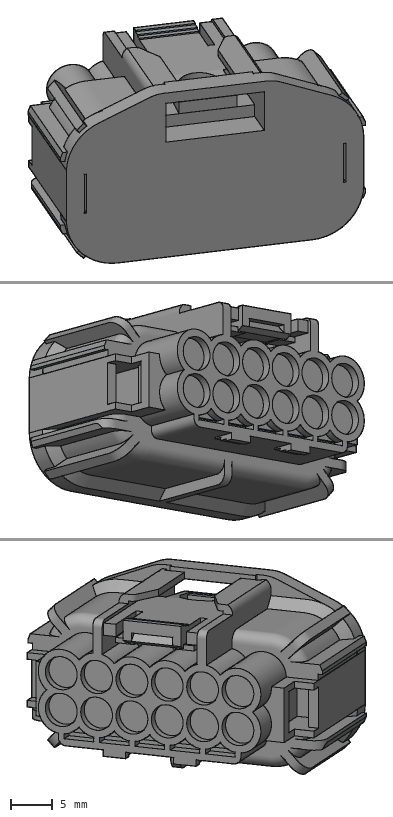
import cadquery as cq
import math


pitch = 4.6
contacts_per_row = 6
barrel_radius = 2.98
bore_radius = 2.05
bore_depth = 1.15
row_end = pitch * (contacts_per_row - 1) / 2
row_height = pitch / 2

hood_front = 8.17
flare_start = 19.52
flange_front = 20.7
length = 23.25
flange_half_width = 18.6
flange_top = 8.65
flange_bottom = -10.65
flange_corner = 6.45
hood_inset = 1.35
hood_round = 1.5
hood_middle = (flange_top + flange_bottom) / 2
arc_y = flange_half_width - flange_corner
arc_z = flange_top - flange_corner
hump_top = 11.08
hump_slope = 22.0
hump_corner = 4.8

skirt_half_width = 11.85
skirt_bottom = -6.72
skirt_corner = 0.95
core_top = 1.9
slot_width = 3.82
slot_top = -5.25
slot_bottom = -5.85
slot_depth = 1.53
web_pocket_depth = 1.15
foot_inner = 3.15
foot_outer = 6.05
foot_steps = [(1.1, -7.53), (2.18, -7.3), (3.17, -6.9)]

box_top = 2.4
box_bottom = -4.4
box_front = 3.4
box_step = 6.72
box_inner_side = 16.1
window_wall = 0.85
window_front = 4.93
window_floor = 14.82
window_deep_front = 7.0
window_deep_floor = 14.2
pocket_end = 12.22
pocket_outer = 17.3
slit_outer = 16.35

fin_end = 22.3
fin_height = 1.2
fin_reach = 19.1
fin_edge = 18.8
fin_neck = 18.53
fin_land = 0.45
fin_round = 1.75
side_fin_gap = 8.4
corner_fin_tip_y = 16.6
corner_fin_tip_z = 7.5
corner_fin_thickness = 1.22
corner_fin_depth = 6.1
rib_width = 1.15
rib_round = 1.3

channel_half_width = 6.15
channel_floor = 6.15
channel_roof = 9.7
mouth_front = 19.1
rail_outer = 7.37
rail_top = 9.35
rail_round = 0.9
rail_root = 4.6
wing_front = 8.4
wing_end = 20.2
wing_top = 10.55
wing_inner = 3.63
wing_nose = 5.45
wing_straight = 11.88
wing_nose_round = 0.75
wing_flat_edge = 6.72
crown_y = 7.15
crown_z = 10.15
crossbar_half_width = 5.55

plate_front = 0.5
plate_top = 8.98
plate_bottom = 7.45
relief_inner = 3.75
relief_outer = 4.6
relief_end = 7.03
finger_front = 0.75
finger_top = 9.5
finger_step_ends = [1.6, 2.45, 3.17]
finger_bottom = 6.5
grip_half_width = 2.67
grip_top = 8.02
grip_bottom = 7.0
grip_depth = 1.15
bar_front = 1.68
bar_end = 4.35
bar_half_width = 5.08
bar_bottom = 6.35
tongue_start = 14.2
tongue_half_width = 3.63
eye_end = 18.95
eye_ledge_end = 19.65
eye_ledge_depth = 0.08
tongue_drop = 0.75
eye_half_width = 2.7


def block(x0, x1, y0, y1, z0, z1):
    return cq.Workplane("XY").box(x1 - x0, y1 - y0, z1 - z0, centered=False).translate((x0, y0, z0))


def both_sides(solid):
    return solid.union(solid.mirror("XZ"))


def rounded_outline(x, inset):
    """Flange outline shrunk by inset, as a sketch at the given X."""
    sketch = (
        cq.Sketch()
        .rect(2 * (flange_half_width - inset), flange_top - flange_bottom - 2 * inset)
        .vertices()
        .fillet(flange_corner - inset)
    )
    return cq.Workplane("YZ", origin=(x, 0, hood_middle)).placeSketch(sketch)


def make_contact_block():
    centres = [
        (-row_end + i * pitch, z) for i in range(contacts_per_row) for z in (-row_height, row_height)
    ]
    core = block(0, hood_front, -skirt_half_width, skirt_half_width, skirt_bottom, core_top)
    core = core.edges("|X and <Z").fillet(skirt_corner)
    for i in range(contacts_per_row - 1):
        y = -row_end + (i + 0.5) * pitch
        y0 = y - slot_width / 2
        y1 = y + slot_width / 2
        core = core.cut(block(0, slot_depth, y0, y1, slot_bottom, slot_top))
        core = core.cut(block(0, web_pocket_depth, y0, y1, slot_top, -row_height))
    body = core
    for y, z in centres:
        body = body.union(cq.Workplane("YZ").center(y, z).circle(barrel_radius).extrude(hood_front))
    body = body.cut(cq.Workplane("YZ").pushPoints(centres).circle(bore_radius).extrude(bore_depth))
    start = 0
    for end, bottom in foot_steps:
        body = body.union(both_sides(block(start, end, foot_inner, foot_outer, bottom, skirt_bottom)))
        start = end
    return body


def make_hood():
    hood = rounded_outline(hood_front, hood_inset).extrude(length - hood_front)
    hood = hood.faces("<X").edges().fillet(hood_round)
    slope = math.radians(hump_slope)
    tangent_y = arc_y + flange_corner * math.sin(slope)
    tangent_z = arc_z + flange_corner * math.cos(slope)
    crest_y = tangent_y - (hump_top - tangent_z) / math.tan(slope)
    hump = (
        cq.Workplane("YZ", origin=(flange_front, 0, 0))
        .moveTo(-tangent_y, arc_z)
        .lineTo(-tangent_y, tangent_z)
        .lineTo(-crest_y, hump_top)
        .lineTo(crest_y, hump_top)
        .lineTo(tangent_y, tangent_z)
        .lineTo(tangent_y, arc_z)
        .close()
        .extrude(length - flange_front)
    )
    hump = hump.edges("|X and >Z").fillet(hump_corner)
    flange = rounded_outline(flange_front, 0).extrude(length - flange_front)
    flare_rise = flange_front - flare_start
    flare_angle = math.degrees(math.atan(hood_inset / flare_rise))
    flare = rounded_outline(flare_start, hood_inset).extrude(flare_rise, taper=-flare_angle)
    crossbar = block(
        wing_end, length, -crossbar_half_width, crossbar_half_width, channel_roof, hump_top
    )
    return hood.union(flare).union(flange).union(hump).union(crossbar)


def make_side_box():
    inner = block(box_front, hood_front, 0, box_inner_side, box_bottom, box_top)
    outer = block(box_step, length, 0, flange_half_width, box_bottom, box_top)
    return inner.union(outer)


def make_side_window():
    """Opening in a side box, with a blind pocket and a narrow through slit behind it."""
    z0 = box_bottom + window_wall
    z1 = box_top - window_wall
    window = block(window_front, hood_front, window_floor, flange_half_width, z0, z1)
    pocket = block(window_deep_front, pocket_end, window_deep_floor, pocket_outer, z0, z1)
    slit = block(pocket_end, length, box_inner_side, slit_outer, z0, z1)
    return window.union(pocket).union(slit)


def make_upper_side_fin():
    z0 = hood_middle + side_fin_gap / 2
    z1 = z0 + fin_height
    return (
        cq.Workplane("YZ", origin=(hood_front, 0, 0))
        .polyline([
            (arc_y, box_top),
            (fin_neck, box_top),
            (fin_neck, z0),
            (fin_reach, z0),
            (fin_reach, z0 + fin_land),
            (fin_edge, z1),
            (arc_y, z1),
        ])
        .close()
        .extrude(fin_end - hood_front)
    )


def make_lower_side_fin():
    z1 = hood_middle - side_fin_gap / 2
    z0 = z1 - fin_height
    fin = block(hood_front, fin_end, arc_y, fin_reach, z0, z1)
    fin = fin.edges(">Y and <Z").chamfer(fin_height - fin_land, fin_reach - fin_edge)
    corner = block(hood_front, fin_end, arc_y, fin_reach, z0, z1).edges("|Z and <X and >Y").fillet(fin_round)
    return fin.intersect(corner)


def make_corner_fin():
    """Diagonal fin at the upper corner on the +Y side."""
    half = corner_fin_thickness / 2
    fin = block(hood_front, fin_end, -corner_fin_depth, 0, -half, half)
    fin = fin.edges("|Z and <X and >Y").fillet(fin_round)
    fin = fin.rotate((0, 0, 0), (1, 0, 0), 45)
    return fin.translate((0, corner_fin_tip_y, corner_fin_tip_z))


def make_bottom_rib():
    rib = block(hood_front, length, -rib_width / 2, rib_width / 2, flange_bottom, arc_z)
    return rib.edges("|Y and <X and <Z").fillet(rib_round)


def make_channel():
    """Passage under the latch, right through the hood, with a deeper mouth at the flange."""
    side = channel_half_width
    passage = block(hood_front, length, -side, side, channel_floor, channel_roof)
    mouth = block(mouth_front, length, -side, side, rail_root, channel_floor)
    return passage.union(mouth)


def make_sill():
    """Squares off the rounded hood edge at the start of the channel floor."""
    side = channel_half_width
    return block(hood_front, hood_front + hood_round, -side, side, rail_root, channel_floor)


def make_rail():
    rail = block(0, flange_front, channel_half_width, rail_outer, rail_root, rail_top)
    rail = rail.edges("|Y and <X and >Z").fillet(rail_round)
    upper = (
        cq.Workplane("YZ", origin=(wing_front, 0, 0))
        .moveTo(channel_half_width, rail_root)
        .lineTo(rail_outer, rail_root)
        .lineTo(rail_outer, rail_top)
        .threePointArc((crown_y, crown_z), (wing_flat_edge, wing_top))
        .lineTo(channel_half_width, wing_top)
        .close()
        .extrude(flange_front - wing_front)
    )
    nose_corner = (wing_front, wing_nose, (channel_roof + wing_top) / 2)
    wing = (
        cq.Workplane("XY", origin=(0, 0, channel_roof))
        .moveTo(wing_front, channel_half_width)
        .lineTo(wing_front, wing_nose)
        .lineTo(wing_straight, wing_inner)
        .lineTo(wing_end, wing_inner)
        .lineTo(wing_end, channel_half_width)
        .close()
        .extrude(wing_top - channel_roof)
        .edges(cq.selectors.NearestToPointSelector(nose_corner))
        .fillet(wing_nose_round)
    )
    return rail.union(upper).union(wing)


def make_tongue():
    """Sloping rear end of the latch plate with its D-shaped eye."""
    tongue = (
        cq.Workplane("XZ", origin=(0, tongue_half_width, 0))
        .moveTo(tongue_start, plate_top)
        .lineTo(wing_end, plate_top - tongue_drop)
        .lineTo(wing_end, plate_bottom - tongue_drop)
        .lineTo(tongue_start, plate_bottom)
        .close()
        .extrude(2 * tongue_half_width)
    )
    eye_bottom = plate_bottom - tongue_drop
    eye_centre = tongue_start + eye_half_width
    eye = block(eye_centre, eye_end, -eye_half_width, eye_half_width, eye_bottom, plate_top)
    eye_nose = (
        cq.Workplane("XY", origin=(eye_centre, 0, eye_bottom))
        .circle(eye_half_width)
        .extrude(plate_top - eye_bottom)
        .intersect(block(tongue_start, eye_centre, -eye_half_width, eye_half_width, eye_bottom, plate_top))
    )
    ledge_bottom = plate_top - tongue_drop - eye_ledge_depth
    ledge = block(eye_end, eye_ledge_end, -eye_half_width, eye_half_width, ledge_bottom, plate_top)
    return tongue.cut(eye).cut(eye_nose).cut(ledge)


def make_latch():
    plate = block(
        plate_front, tongue_start, -channel_half_width, channel_half_width, plate_bottom, plate_top
    )
    relief = both_sides(block(0, relief_end, relief_inner, relief_outer, plate_bottom, plate_top))
    finger_gap = block(0, bar_end, -relief_inner, relief_inner, plate_bottom, plate_top)
    step_drop = (finger_top - plate_top) / len(finger_step_ends)
    finger_outline = [(finger_front, finger_top)]
    for i, end in enumerate(finger_step_ends):
        finger_outline.append((end, finger_top - i * step_drop))
        finger_outline.append((end, finger_top - (i + 1) * step_drop))
    finger_outline += [
        (bar_end, plate_top),
        (bar_end, finger_bottom),
        (bar_front, finger_bottom),
        (finger_front, grip_bottom),
    ]
    finger = (
        cq.Workplane("XZ", origin=(0, relief_inner, 0))
        .polyline(finger_outline)
        .close()
        .extrude(2 * relief_inner)
    )
    grip = (
        cq.Workplane("XZ", origin=(0, grip_half_width, 0))
        .polyline([
            (finger_front, grip_top),
            (finger_front + grip_depth, grip_top),
            (finger_front, grip_bottom),
        ])
        .close()
        .extrude(2 * grip_half_width)
    )
    bar = both_sides(block(bar_front, bar_end, grip_half_width, bar_half_width, bar_bottom, grip_bottom))
    plate = plate.cut(relief).cut(finger_gap)
    return plate.union(finger.cut(grip)).union(bar).union(make_tongue())


upper_corner_fin = make_corner_fin()
lower_corner_fin = upper_corner_fin.mirror("XY", (0, 0, hood_middle))

result = make_hood().union(make_contact_block())
result = result.union(both_sides(make_side_box()))
for fin in (make_upper_side_fin(), make_lower_side_fin(), upper_corner_fin, lower_corner_fin):
    result = result.union(both_sides(fin))
result = result.union(make_bottom_rib())
result = result.cut(both_sides(make_side_window()))
result = result.cut(make_channel()).union(make_sill())
result = result.union(both_sides(make_rail())).union(make_latch())